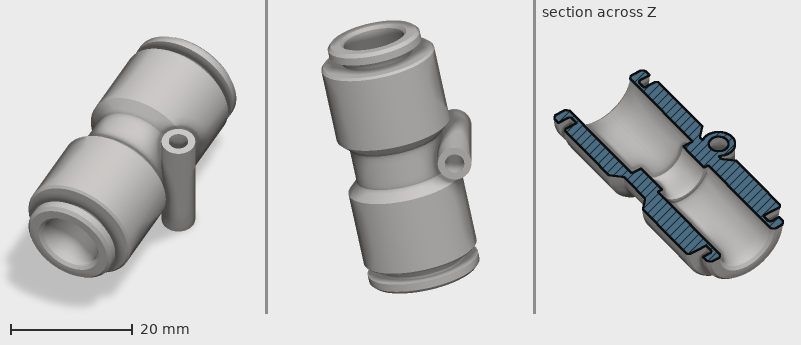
import cadquery as cq

total_length = 42.0
body_radius = 9.5
body_length = 35.03
body_edge_chamfer = 0.38
waist_radius = 7.73
waist_length = 5.95
waist_depth = body_radius - waist_radius

collar_thickness = 1.8
collar_chamfer = 0.55
front_collar_radius = 7.73
front_neck_radius = 5.85
back_collar_radius = 9.3
back_neck_radius = 6.9
neck_flare_height = 0.25
neck_flare_length = 0.25

passage_radius = 4.25
neck_wall = 0.75
socket_end = waist_length / 2
socket_mouth_chamfer = 0.5

eyelet_radius = 2.77
eyelet_hole_radius = 1.6
eyelet_center_x = 9.32
eyelet_height = 2 * body_radius

half_length = total_length / 2
half_body = body_length / 2


def revolve_about_y(profile):
    """Revolve (radius, y) points once around the Y axis."""
    return cq.Workplane("XY").polyline(profile).close().revolve(360, (0, 0, 0), (0, 1, 0))


def make_body():
    shoulder_y = waist_length / 2 + waist_depth
    back_half = [
        (waist_radius, waist_length / 2),
        (body_radius, shoulder_y),
        (body_radius, half_body - body_edge_chamfer),
        (body_radius - body_edge_chamfer, half_body),
        (0, half_body),
    ]
    front_half = [(radius, -y) for radius, y in reversed(back_half)]
    return revolve_about_y(front_half + back_half)


def make_collar(collar_radius, neck_radius, side):
    """Neck flaring into a flange; side is +1 at the back end (+Y) and -1 at the front end."""
    flange_y = half_length - collar_thickness
    flare_radius = neck_radius + neck_flare_height
    profile = [
        (0, 0),
        (neck_radius, 0),
        (neck_radius, flange_y - neck_flare_length),
        (flare_radius, flange_y),
        (collar_radius, flange_y),
        (collar_radius, half_length - collar_chamfer),
        (collar_radius - collar_chamfer, half_length),
        (0, half_length),
    ]
    return revolve_about_y([(radius, side * y) for radius, y in profile])


def make_socket(neck_radius, side):
    """Cutter for a tube socket with a chamfered mouth."""
    socket_radius = neck_radius - neck_wall
    profile = [
        (0, socket_end),
        (socket_radius, socket_end),
        (socket_radius, half_length - socket_mouth_chamfer),
        (socket_radius + socket_mouth_chamfer, half_length),
        (0, half_length),
    ]
    return revolve_about_y([(radius, side * y) for radius, y in profile])


def vertical_cylinder(radius):
    bottom = cq.Workplane("XY", origin=(eyelet_center_x, 0, -eyelet_height / 2))
    return bottom.circle(radius).extrude(eyelet_height)


passage = cq.Workplane("XZ").circle(passage_radius).extrude(half_length, both=True)

result = make_body().union(vertical_cylinder(eyelet_radius))
for collar_radius, neck_radius, side in (
    (front_collar_radius, front_neck_radius, -1),
    (back_collar_radius, back_neck_radius, 1),
):
    result = result.union(make_collar(collar_radius, neck_radius, side))
    result = result.cut(make_socket(neck_radius, side))
result = result.cut(passage).cut(vertical_cylinder(eyelet_hole_radius))